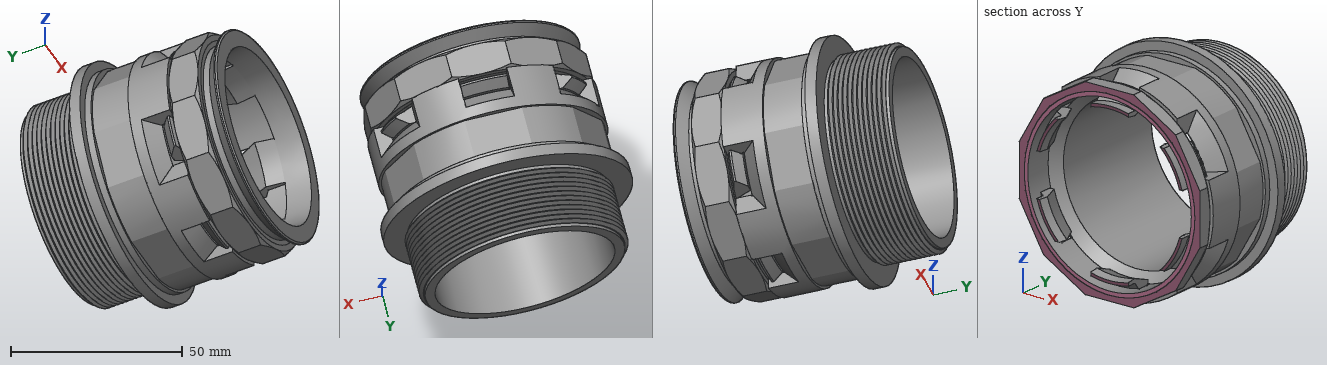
import cadquery as cq
import math


FLARE_RIM_END = 0.9
FLARE_END = 3.9
NUT_FRONT = 5.9
NUT_BACK = 15.45
COLLAR_BACK = 28.3
STEP_FRONT = 40.35
FLANGE_FRONT = 42.45
FLANGE_BACK = 45.9
THREAD_END = 64.9
TOTAL_LENGTH = 65.85

FLANGE_RADIUS = 37.5
COLLAR_RADIUS = 34.5
HEX_SIDES = 6
HEX_APOTHEM = 32.55
HEX_CORNER_RADIUS = 33.7
THREAD_BORE_RADIUS = 27.1
SOCKET_RADIUS = 30.0
SPIGOT_RADIUS = 31.5
SHOULDER_FRONT = 20.25
SHOULDER_BACK = 23.8

THREAD_CREST_RADIUS = 31.5
THREAD_ROOT_RADIUS = 30.4
THREAD_LEAD_RADIUS = 30.1
THREAD_PITCH = 1.5
THREAD_RIDGES = 12

WINDOW_HALF_WIDTH = 7.3
WINDOW_BACK_INNER = 20.5
WINDOW_BACK_OUTER = 24.75
WINDOW_MARGIN = 0.75
SIDE_WINDOW_X = 21.2
SIDE_WINDOW_Z = 10.65

NUT_SIDES = 12
NUT_APOTHEM = 33.3
NUT_CHAMFER_LENGTH = 1.1

SLEEVE_RADIUS = SOCKET_RADIUS
FLARE_RADIUS = 33.1
RIM_CHAMFER = 0.45
MOUTH_RADIUS = 27.7
CLAW_ROOT = 7.9
CLAW_ROOT_RADIUS = 27.1
CLAW_THICKNESS = 0.75
CLAW_TOOTH_RADIUS = 26.3
CLAW_TIP = 19.9
CLAW_TIP_RADIUS = 28.5
CLAW_HALF_WIDTH = 7.0
SIDE_CLAW_TOP_Z = 19.2
SIDE_CLAW_BOTTOM_Z = 7.4
SIDE_HOOK_BOTTOM_Z = 10.9
HOOK_FRONT = 13.7
HOOK_RADIUS = 32.7
HOOK_RIDGE_FRONT = 16.65
HOOK_RIDGE_BACK = 17.25

CLEAR = 45.0


def revolve(points):
    """Solid of revolution about Y from (radius, y) points."""
    return cq.Workplane("XY").polyline(points).close().revolve(360, (0, 0, 0), (0, 1, 0))


def tube(outer, inner, start, end):
    return revolve([(inner, start), (outer, start), (outer, end), (inner, end)])


def prism(sides, apothem, start, end):
    """Regular prism along Y with one flat facing +Z."""
    corner_diameter = 2 * apothem / math.cos(math.pi / sides)
    return (
        cq.Workplane("XZ", origin=(0, start, 0))
        .transformed(rotate=(0, 0, 90 - 180 / sides))
        .polygon(sides, corner_diameter)
        .extrude(-(end - start))
    )


def box(x_range, y_range, z_range):
    size = [r[1] - r[0] for r in (x_range, y_range, z_range)]
    corner = (x_range[0], y_range[0], z_range[0])
    return cq.Workplane("XY").box(*size, centered=False).translate(corner)


def mirrored(top, side):
    """Copies of a +Z feature at top and bottom and of a +X+Z feature in all four quadrants."""
    copies = [top, top.mirror("XY")]
    for right_hand in (side, side.mirror("XY")):
        copies += [right_hand, right_hand.mirror("YZ")]
    return copies


def thread_profile():
    """Outline points of the thread ridges, from the first root to the last."""
    start = THREAD_END - THREAD_RIDGES * THREAD_PITCH
    points = [(THREAD_ROOT_RADIUS, start)]
    for ridge in range(THREAD_RIDGES):
        ridge_start = start + ridge * THREAD_PITCH
        points.append((THREAD_CREST_RADIUS, ridge_start + THREAD_PITCH / 2))
        points.append((THREAD_ROOT_RADIUS, ridge_start + THREAD_PITCH))
    return points


def make_windows():
    ends = (NUT_BACK, COLLAR_BACK)
    top = box((-WINDOW_HALF_WIDTH, WINDOW_HALF_WIDTH), ends, (0, CLEAR))
    side = box((SIDE_WINDOW_X, CLEAR), ends, (SIDE_WINDOW_Z, CLEAR))
    slope = (WINDOW_BACK_OUTER - WINDOW_BACK_INNER) / (COLLAR_RADIUS - SOCKET_RADIUS)
    extra = slope * WINDOW_MARGIN
    cone = revolve([
        (SOCKET_RADIUS - WINDOW_MARGIN, NUT_BACK),
        (COLLAR_RADIUS + WINDOW_MARGIN, NUT_BACK),
        (COLLAR_RADIUS + WINDOW_MARGIN, WINDOW_BACK_OUTER + extra),
        (SOCKET_RADIUS - WINDOW_MARGIN, WINDOW_BACK_INNER - extra),
    ])
    return [cone.intersect(opening) for opening in mirrored(top, side)]


def make_housing():
    shell = revolve([
        (SOCKET_RADIUS, NUT_FRONT),
        (SPIGOT_RADIUS, NUT_FRONT),
        (SPIGOT_RADIUS, NUT_BACK),
        (COLLAR_RADIUS, NUT_BACK),
        (COLLAR_RADIUS, COLLAR_BACK),
        (THREAD_ROOT_RADIUS, COLLAR_BACK),
        (THREAD_ROOT_RADIUS, STEP_FRONT),
        (COLLAR_RADIUS, STEP_FRONT),
        (COLLAR_RADIUS, FLANGE_FRONT),
        (FLANGE_RADIUS, FLANGE_FRONT),
        (FLANGE_RADIUS, FLANGE_BACK),
        (THREAD_ROOT_RADIUS, FLANGE_BACK),
        *thread_profile(),
        (THREAD_LEAD_RADIUS, THREAD_END),
        (THREAD_LEAD_RADIUS, TOTAL_LENGTH),
        (THREAD_BORE_RADIUS, TOTAL_LENGTH),
        (THREAD_BORE_RADIUS, SHOULDER_BACK),
        (SOCKET_RADIUS, SHOULDER_FRONT),
    ])
    wrench_ring = tube(HEX_CORNER_RADIUS, SOCKET_RADIUS, COLLAR_BACK, STEP_FRONT)
    wrench = prism(HEX_SIDES, HEX_APOTHEM, COLLAR_BACK, STEP_FRONT).intersect(wrench_ring)
    housing = shell.union(wrench)
    for window in make_windows():
        housing = housing.cut(window)
    return housing


def make_nut():
    corner_radius = NUT_APOTHEM / math.cos(math.pi / NUT_SIDES)
    blank = revolve([
        (SPIGOT_RADIUS, NUT_FRONT),
        (NUT_APOTHEM, NUT_FRONT),
        (corner_radius, NUT_FRONT + NUT_CHAMFER_LENGTH),
        (corner_radius, NUT_BACK - NUT_CHAMFER_LENGTH),
        (NUT_APOTHEM, NUT_BACK),
        (SPIGOT_RADIUS, NUT_BACK),
    ])
    return blank.intersect(prism(NUT_SIDES, NUT_APOTHEM, NUT_FRONT, NUT_BACK))


def make_sleeve():
    sleeve = revolve([
        (MOUTH_RADIUS, 0),
        (FLARE_RADIUS - RIM_CHAMFER, 0),
        (FLARE_RADIUS, RIM_CHAMFER),
        (FLARE_RADIUS, FLARE_RIM_END),
        (SLEEVE_RADIUS, FLARE_END),
        (SLEEVE_RADIUS, CLAW_ROOT),
        (CLAW_ROOT_RADIUS, CLAW_ROOT),
    ])
    arm_outer = CLAW_ROOT_RADIUS + CLAW_THICKNESS
    arm_ring = revolve([
        (CLAW_ROOT_RADIUS, CLAW_ROOT),
        (arm_outer, CLAW_ROOT),
        (arm_outer, HOOK_FRONT),
        (CLAW_TOOTH_RADIUS, HOOK_FRONT),
    ])
    tooth_ring = revolve([
        (CLAW_TOOTH_RADIUS, HOOK_FRONT),
        (arm_outer, HOOK_FRONT),
        (SLEEVE_RADIUS, NUT_BACK),
        (SLEEVE_RADIUS, CLAW_TIP),
        (CLAW_TIP_RADIUS, CLAW_TIP),
    ])
    ridge_ring = revolve([
        (CLAW_TIP_RADIUS, NUT_BACK),
        (SLEEVE_RADIUS, NUT_BACK),
        (HOOK_RADIUS, HOOK_RIDGE_FRONT),
        (HOOK_RADIUS, HOOK_RIDGE_BACK),
        (SLEEVE_RADIUS, CLAW_TIP),
        (CLAW_TIP_RADIUS, CLAW_TIP),
    ])
    reach = (0, CLEAR)
    along = (CLAW_ROOT, CLAW_TIP)
    top = box((-CLAW_HALF_WIDTH, CLAW_HALF_WIDTH), along, reach)
    side_arm = box(reach, along, (SIDE_CLAW_BOTTOM_Z, SIDE_CLAW_TOP_Z))
    side_ridge = box(reach, along, (SIDE_HOOK_BOTTOM_Z, SIDE_CLAW_TOP_Z))
    claw_ring = arm_ring.union(tooth_ring)
    for arm, ridge in zip(mirrored(top, side_arm), mirrored(top, side_ridge)):
        sleeve = sleeve.union(claw_ring.intersect(arm))
        sleeve = sleeve.union(ridge_ring.intersect(ridge))
    return sleeve


housing = make_housing()
nut = make_nut()
sleeve = make_sleeve()

result = cq.Compound.makeCompound([housing.val(), nut.val(), sleeve.val()])